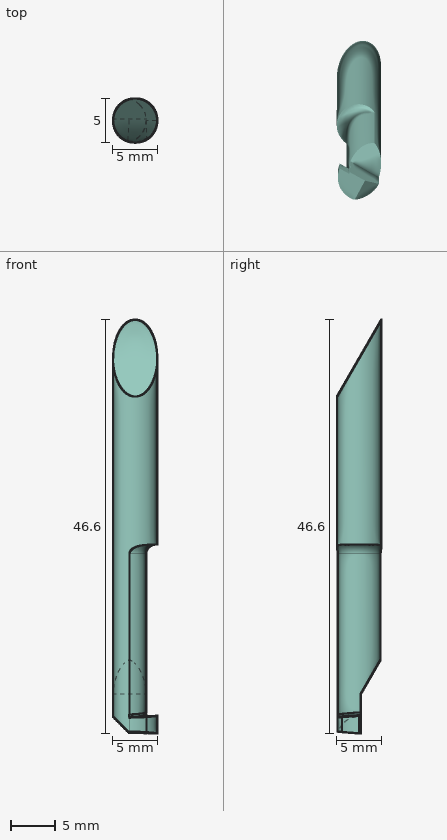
import cadquery as cq
import math

shank_radius = 2.5
total_length = 46.58
rear_cut_angle = 60.0

flat_y = 0.2
rake_ramp_start = 8.45
rake_ramp_angle = 60.0

neck_offset = 1.25
neck_shoulder_height = 21.25
neck_shoulder_fillet = 1.0
undercut_radius = 0.25
undercut_depth = 0.05

tooth_width = 2.0
tooth_depth = 1.2
front_relief_angle = 3.5
relief_radius = 2.8
side_relief_angle = 1.5
corner_chamfer = 1.9

neck_line_x = -neck_offset / 2
neck_line_y = -math.sqrt(shank_radius**2 - neck_line_x**2)

edge_x = shank_radius
chord_x = edge_x - neck_line_x
chord_y = -neck_line_y
chord = math.hypot(chord_x, chord_y)
center_to_chord = math.sqrt(relief_radius**2 - (chord / 2) ** 2)
relief_center_x = (edge_x + neck_line_x) / 2 - center_to_chord * chord_y / chord
relief_center_y = neck_line_y / 2 + center_to_chord * chord_x / chord
tooth_root_x = shank_radius - tooth_depth

margin = 2.0
cutter_size = 8 * shank_radius
reach = shank_radius + margin


def side_profile(points):
    """Extrude a (Y, Z) outline across the full width of the bar."""
    return cq.Workplane("YZ").polyline(points).close().extrude(reach, both=True)


def bar():
    """Round bar with the oblique rear face rising towards +Y."""
    slope = math.tan(math.radians(rear_cut_angle))
    rear_cut = side_profile([
        (reach, total_length + margin * slope),
        (-reach, total_length - (reach + shank_radius) * slope),
        (-reach, total_length + margin * slope),
    ])
    return cq.Workplane("XY").circle(shank_radius).extrude(total_length).cut(rear_cut)


def rake_step():
    """Material removed above the flat, ending in a ramp."""
    slope = math.tan(math.radians(rake_ramp_angle))
    ramp_end = rake_ramp_start - (shank_radius - flat_y) * slope
    return side_profile([
        (flat_y, -margin),
        (flat_y, ramp_end),
        (reach, rake_ramp_start + margin * slope),
        (reach, -margin),
    ])


def place_on_flank(shape, height, side):
    """Tilt a shape made about Z = 0 onto a tooth flank: side is +1 for the upper, -1 for the lower."""
    return (
        shape.rotate((0, 0, 0), (1, 0, 0), side * front_relief_angle)
        .rotate((0, 0, 0), (0, 1, 0), -side * side_relief_angle)
        .translate((edge_x, 0, height))
    )


def flank_cutter(height, side):
    """Everything beyond one tooth flank."""
    block = cq.Workplane("XY").box(cutter_size, cutter_size, cutter_size)
    return place_on_flank(block.translate((0, 0, side * cutter_size / 2)), height, side)


def undercut():
    """Ring that bites slightly into the neck and touches the upper flank of the tooth."""
    ring_radius = shank_radius - undercut_depth + undercut_radius
    ring = cq.Workplane("XY").add(cq.Solid.makeTorus(ring_radius, undercut_radius))
    ring = ring.translate((-neck_offset - edge_x, 0, undercut_radius))
    return place_on_flank(ring, tooth_width, 1)


def tooth_band():
    """The relief arc's cylinder, limited to the height of the tooth."""
    return (
        cq.Workplane("XY", origin=(relief_center_x, relief_center_y, -margin))
        .circle(relief_radius)
        .extrude(tooth_width + 2 * margin)
        .cut(flank_cutter(tooth_width, 1))
    )


def neck_clearance():
    """Material removed around the neck and in front of the tooth's relief arc."""
    height = neck_shoulder_height + margin
    ring = (
        cq.Workplane("XY", origin=(-neck_offset, 0, -margin))
        .circle(shank_radius + neck_offset + margin)
        .circle(shank_radius)
        .extrude(height)
    )
    inner_edge = cq.selectors.RadiusNthSelector(0)
    ring = ring.faces(">Z").edges(inner_edge).fillet(neck_shoulder_fillet)
    return ring.cut(tooth_band())


def chamfer_corner():
    """Triangular prism that takes off the lower -X corner of the bar."""
    return (
        cq.Workplane("XZ")
        .polyline([
            (-shank_radius - margin, corner_chamfer + margin),
            (-shank_radius + corner_chamfer + margin, -margin),
            (-shank_radius - margin, -margin),
        ])
        .close()
        .extrude(reach, both=True)
    )


def tooth_zone():
    """Region beyond the tooth's root plane at the cutting end."""
    height = tooth_width + 2 * margin
    box = cq.Workplane("XY").box(cutter_size, cutter_size, height, centered=(False, True, False))
    return box.translate((tooth_root_x, 0, -margin))


def tooth_rake():
    """Material removed above the tooth's rake face, from the tooth's root outwards."""
    return tooth_zone().intersect(
        cq.Workplane("XY").box(cutter_size, cutter_size, cutter_size, centered=(True, False, True))
    )


def whole_tool():
    return (
        bar()
        .cut(rake_step())
        .cut(neck_clearance())
        .cut(undercut())
        .cut(tooth_rake())
        .cut(flank_cutter(0, -1))
        .cut(chamfer_corner())
    )


tool = whole_tool()
holder = tool.cut(tooth_zone())
tooth = tool.intersect(tooth_zone())

result = cq.Compound.makeCompound([holder.val(), tooth.val()])